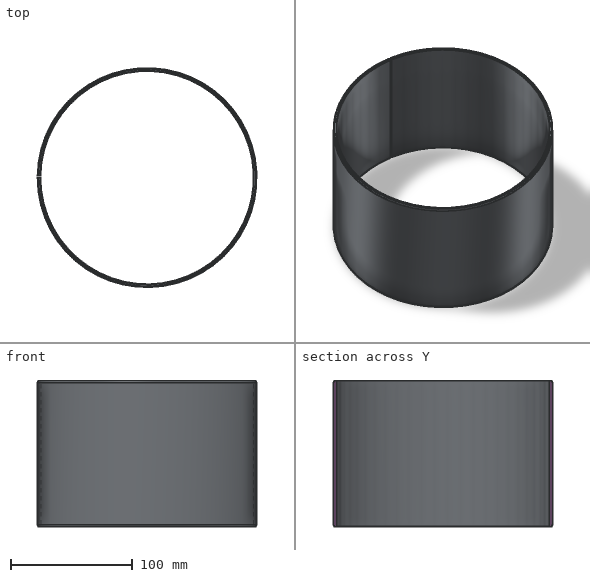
import cadquery as cq

outer_diameter = 180.0
wall = 2.5
height = 120.0
split_angle = 1.0
outer_chamfer_height = 1.8
outer_chamfer_width = 0.7
inner_chamfer = 0.4

outer_radius = outer_diameter / 2
inner_radius = outer_radius - wall
half_height = height / 2


def wall_profile():
    """Wall cross-section on the -X side, with all four corners chamfered."""
    outer_shoulder = half_height - outer_chamfer_height
    inner_shoulder = half_height - inner_chamfer
    rim_outer = outer_radius - outer_chamfer_width
    rim_inner = inner_radius + inner_chamfer
    return cq.Workplane("XZ").polyline([
        (-outer_radius, -outer_shoulder),
        (-outer_radius, outer_shoulder),
        (-rim_outer, half_height),
        (-rim_inner, half_height),
        (-inner_radius, inner_shoulder),
        (-inner_radius, -inner_shoulder),
        (-rim_inner, -half_height),
        (-rim_outer, -half_height),
    ]).close()


axis_start = (0, 0, 0)
axis_end = (0, 1, 0)
result = wall_profile().revolve(360 - split_angle, axis_start, axis_end)